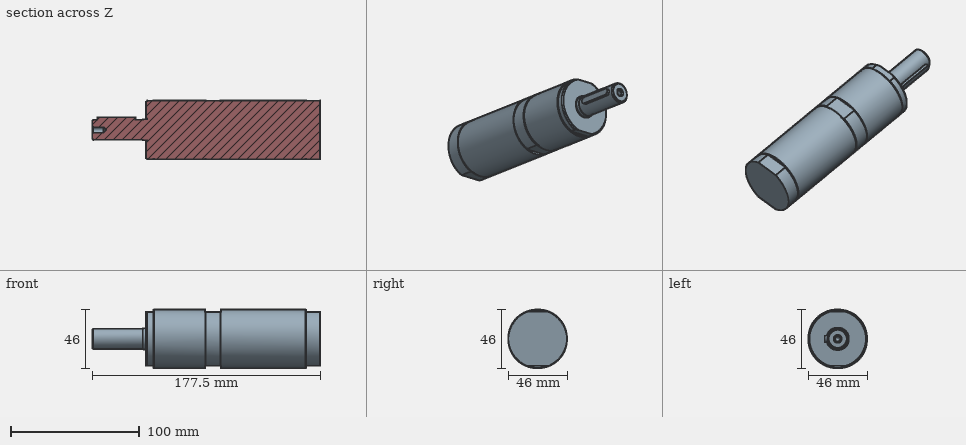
import cadquery as cq

total_length = 177.5
body_diameter = 46.0
flat_spacing = 42.0

shaft_diameter = 16.0
shaft_chamfer = 1.0
collar_diameter = 16.9
collar_nose_diameter = 16.3
collar_start = 39.5
collar_taper_length = 1.0
root_overlap = 1.8

flange_face = 41.9
flange_chamfer = 1.0
recess_diameter = 17.5
recess_depth = 0.9
flange_flats_end = 47.7
wrench_start = 87.9
wrench_end = 100.3
rear_flats_start = 166.5
edge_chamfer = 0.5

key_start = 3.9
key_length = 30.0
key_width = 5.0
key_top = 10.0

centre_diameter = 4.0
centre_mouth_diameter = 6.2
centre_depth = 8.9


def turned(start, end, diameter, front_chamfer=0.0, back_chamfer=0.0):
    """Cylinder along X from start to end, with optional end chamfers."""
    body = cq.Workplane("YZ").workplane(offset=start).circle(diameter / 2).extrude(end - start)
    if front_chamfer:
        body = body.faces("<X").chamfer(front_chamfer)
    if back_chamfer:
        body = body.faces(">X").chamfer(back_chamfer)
    return body


def flatted(body):
    """Trim a turned section to two flats facing +Z and -Z."""
    slab = cq.Workplane("XY").box(2 * total_length, 2 * body_diameter, flat_spacing)
    return body.intersect(slab)


def shaft():
    root = flange_face + root_overlap
    rod = turned(0, root, shaft_diameter, front_chamfer=shaft_chamfer)
    collar = turned(collar_start + collar_taper_length, root, collar_diameter)
    taper = (
        cq.Workplane("YZ")
        .workplane(offset=collar_start)
        .circle(collar_nose_diameter / 2)
        .workplane(offset=collar_taper_length)
        .circle(collar_diameter / 2)
        .loft()
    )
    return rod.union(collar).union(taper)


def key():
    return (
        cq.Workplane("XZ")
        .center(key_start + key_length / 2, 0)
        .slot2D(key_length, key_width)
        .extrude(-key_top)
    )


def centre_hole():
    mouth_depth = (centre_mouth_diameter - centre_diameter) / 2
    return (
        cq.Workplane("XY")
        .lineTo(0, centre_mouth_diameter / 2)
        .lineTo(mouth_depth, centre_diameter / 2)
        .lineTo(centre_depth, centre_diameter / 2)
        .lineTo(centre_depth + centre_diameter / 2, 0)
        .close()
        .revolve(360, (0, 0, 0), (1, 0, 0))
    )


sections = [
    flatted(turned(flange_face, flange_flats_end, body_diameter, front_chamfer=flange_chamfer)),
    turned(flange_flats_end, wrench_start, body_diameter, front_chamfer=edge_chamfer),
    flatted(turned(wrench_start, wrench_end, body_diameter, edge_chamfer, edge_chamfer)),
    turned(wrench_end, rear_flats_start, body_diameter, back_chamfer=edge_chamfer),
    flatted(turned(rear_flats_start, total_length, body_diameter)),
]

housing = sections[0]
for section in sections[1:]:
    housing = housing.union(section)
housing = housing.cut(turned(flange_face, flange_face + recess_depth, recess_diameter))

result = housing.union(shaft()).union(key()).cut(centre_hole())